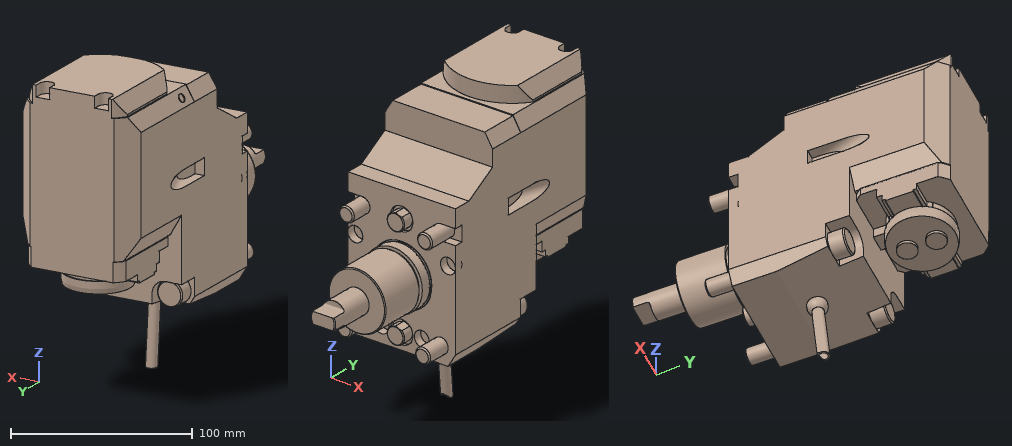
import cadquery as cq
import math


half_width = 37.54
back_y = 129.0
cover_y = 58.9
rear_block_y = 73.0
top_z = 85.5
cover_step = 0.6
top_edge_z = 76.0
top_chamfer_width = 5.5
bottom_z = -46.2
front_bottom_chamfer = (5.2, 8.6)
rear_bottom_z = 1.6
rear_bottom_chamfer = (7.2, 12.6)
back_corner = 10.8
nose_top_z = 52.5
nose_y = 12.0
shoulder_y = 33.5
shoulder_z = 64.9
underside_slope_y = 27.0
underside_rear_z = -40.8

output_y = 100.0
cap_radius = 38.2
cap_top_z = 96.5
cap_half_width = 31.2
cap_top_half_width = 25.53
cap_band = 1.2
cap_notch_x = 18.6
cap_notch_width = 8.6
cap_notch_length = 8.6
cap_notch_depth = 7.0
flange_radius = 38.8
flange_half_width = 31.0
flange_bottom_z = -10.5
notch_top_z = -3.8
notch_y = 86.5
notch_inner_x = 5.2
key_width = 20.8
key_bottom_z = -14.6
key_core_width = 26.5
key_core_half_span = 15.0
key_lip_width = 17.0
key_lip_height = 1.2
nut_diameter = 39.6
nut_collar_diameter = 41.5
nut_collar_top_z = -15.6
nut_bottom_z = -23.2
nut_chamfer = (3.0, 0.6)
nut_head_diameter = 12.0
nut_head_height = 2.0
nut_head_offset = 8.8

screw_x = 27.2
screw_z = 34.93
screw_diameter = 10.5
screw_tip_diameter = 8.6
top_screw_reach = 15.0
bottom_screw_reach = 16.8
face_recess_depth = 5.8
access_floor = 6.0
access_tilt = math.degrees(math.asin(1 / 3))
access_start_y = 47.8
access_axis_y = 69.3
head_diameter = 16.0
head_seat_y = 58.7
head_length = 10.0
head_chamfer = 0.8
head_pocket_diameter = 17.0

face_hole_diameter = 10.5
side_hole_x = 32.2
side_hole_z = 15.6
lower_hole_x = 14.0
plug_diameter = 12.0
plug_recess_diameter = 15.6
plug_recess_depth = 2.0
plug_reach = 5.8
plug_chamfer = 0.6
plug_flat_span = 45.0
dot_diameter = 5.0
dot_y = 68.0
dot_z = 80.7
dot_depth = 0.6

face_ring_diameter = 42.0
face_ring_depth = 1.0
relief_diameter = 39.5
relief_end = 1.0
collar_diameter = 40.8
collar_end = 7.8
groove_diameter = 36.5
groove_end = 10.0
sleeve_diameter = 39.6
sleeve_end = 40.5
sleeve_chamfer = 0.6

shaft_diameter = 17.0
shaft_end = 71.3
tang_start = 61.0
tang_thickness = 8.0
tang_root_radius = 1.5
tang_chamfer = 0.6

ball_diameter = 12.0
ball_y = 37.0
ball_z = -46.5
tube_diameter = 7.0
tube_bore = 5.0
tube_bore_depth = 36.0
tube_tilt = 5.0
tube_end_z = -90.3
bevel_start_y = 39.8
bevel_angle = 45.0

big = 200.2


def box(x0, x1, y0, y1, z0, z1):
    """Axis-aligned block between two corners."""
    return cq.Workplane("XY").box(x1 - x0, y1 - y0, z1 - z0, centered=False).translate((x0, y0, z0))


def rod_y(diameter, x, z, y0, y1):
    """Round bar along Y from y0 to y1."""
    plane = cq.Plane(origin=(x, y0, z), xDir=(1, 0, 0), normal=(0, 1, 0))
    return cq.Workplane(plane).circle(diameter / 2).extrude(y1 - y0)


def rod_z(diameter, y, z0, z1):
    """Round bar along Z on the middle plane."""
    return cq.Workplane("XY", origin=(0, y, z0)).circle(diameter / 2).extrude(z1 - z0)


def both_sides(shape):
    """The shape together with its mirror image across X = 0."""
    return shape.union(shape.mirror("YZ"))


def housing_length(y0, y1, bottom, bottom_chamfer, top):
    """Stretch of the housing with chamfered long edges."""
    chamfer_width, chamfer_height = bottom_chamfer
    right_side = [
        (half_width - chamfer_width, bottom),
        (half_width, bottom + chamfer_height),
        (half_width, top_edge_z),
        (half_width - top_chamfer_width, top),
    ]
    left_side = [(-x, z) for x, z in reversed(right_side)]
    outline = cq.Workplane("XZ", origin=(0, y0, 0)).polyline(right_side + left_side).close()
    return outline.extrude(y0 - y1)


def side_profile_cut(points):
    """Prism across the whole width from a (Y, Z) outline."""
    return cq.Workplane("YZ").polyline(points).close().extrude(half_width + 2, both=True)


def make_block():
    front_top = top_z - cover_step
    block = housing_length(0, cover_y, bottom_z, front_bottom_chamfer, front_top)
    block = block.union(housing_length(cover_y, rear_block_y, bottom_z, front_bottom_chamfer, top_z))
    block = block.union(
        housing_length(rear_block_y, back_y, rear_bottom_z, rear_bottom_chamfer, top_z)
    )
    block = block.cut(side_profile_cut([
        (0, nose_top_z), (nose_y, nose_top_z), (shoulder_y, shoulder_z),
        (shoulder_y, big), (-big, big), (-big, nose_top_z),
    ]))
    block = block.cut(side_profile_cut([
        (underside_slope_y, bottom_z), (rear_block_y, underside_rear_z), (rear_block_y, bottom_z),
    ]))
    corner = cq.Workplane("XY").polyline([
        (half_width, back_y - back_corner), (half_width, back_y), (half_width - back_corner, back_y),
    ]).close().extrude(big, both=True)
    return block.cut(both_sides(corner))


def make_disc(radius, half_span, z0, z1):
    """Disc on the output axis, trimmed flat at both sides and at the back."""
    disc = rod_z(2 * radius, output_y, z0, z1)
    return disc.intersect(box(-half_span, half_span, -big, back_y, z0, z1))


def make_cap():
    cap = make_disc(cap_radius, cap_half_width, top_z, cap_top_z)
    slope = cq.Workplane("XZ").polyline([
        (cap_half_width, top_z + cap_band), (cap_half_width, cap_top_z), (cap_top_half_width, cap_top_z),
    ]).close().extrude(-big)
    cap = cap.cut(both_sides(slope))
    radius = cap_notch_width / 2
    notch_y_end = back_y - cap_notch_length + radius
    floor_z = cap_top_z - cap_notch_depth
    notch = rod_z(cap_notch_width, notch_y_end, floor_z, cap_top_z)
    notch = notch.union(box(-radius, radius, notch_y_end, back_y, floor_z, cap_top_z))
    return cap.cut(both_sides(notch.translate((cap_notch_x, 0, 0))))


def make_flange():
    """Trimmed disc under the rear block, with front notches and a key on each side."""
    flange = make_disc(flange_radius, flange_half_width, flange_bottom_z, rear_bottom_z)
    notch = box(notch_inner_x, flange_radius, 0, notch_y, flange_bottom_z, notch_top_z)
    flange = flange.cut(both_sides(notch))

    def key(width, half_span, bottom):
        return box(-half_span, half_span, output_y - width / 2, output_y + width / 2, bottom, flange_bottom_z)

    flange = flange.union(key(key_width, flange_half_width, key_bottom_z))
    flange = flange.union(key(key_core_width, key_core_half_span, key_bottom_z))
    return flange.union(key(key_lip_width, flange_half_width, key_bottom_z - key_lip_height))


def make_nut():
    nut = rod_z(nut_diameter, output_y, nut_bottom_z, rear_bottom_z)
    collar = rod_z(nut_collar_diameter, output_y, nut_bottom_z, nut_collar_top_z)
    nut = nut.union(collar.faces("<Z").chamfer(*nut_chamfer))
    for side in (-1, 1):
        head_y = output_y + side * nut_head_offset
        nut = nut.union(rod_z(nut_head_diameter, head_y, nut_bottom_z - nut_head_height, nut_bottom_z))
    return nut


def access_pocket():
    """Tilted round-bottomed pocket in the +X side, cut off by a flat floor."""
    radius = screw_diameter / 2
    pocket = rod_y(screw_diameter, 0, 0, -big, big)
    pocket = pocket.union(box(0, big, -big, big, -radius, radius))
    pocket = pocket.rotate((0, 0, 0), (0, 0, 1), -access_tilt)
    pocket = pocket.translate((half_width, access_axis_y, screw_z))
    limits = box(half_width - access_floor, half_width + 2, access_start_y, back_y, 0, top_edge_z)
    return pocket.intersect(limits)


def face_slot():
    """Slot in the mounting face from an upper screw out to the +X side."""
    radius = screw_diameter / 2
    return box(screw_x, half_width, 0, face_recess_depth, screw_z - radius, screw_z + radius)


def head_pocket():
    """Rear corner pocket for a lower screw head, open to the side, the rear and below."""
    radius = head_pocket_diameter / 2
    top = radius - screw_z
    pocket = box(screw_x - radius, half_width, head_seat_y, rear_block_y, bottom_z, top)
    return pocket.edges("|Y").edges("<X").edges(">Z").fillet(radius)


def make_screw(x, z, reach, inner_end):
    """Screw end that stands out of the mounting face."""
    screw = rod_y(screw_diameter, x, z, -reach, inner_end)
    return screw.faces("<Y").chamfer((screw_diameter - screw_tip_diameter) / 2)


def make_screw_head():
    head = rod_y(head_diameter, screw_x, -screw_z, head_seat_y, head_seat_y + head_length)
    return head.faces(">Y").chamfer(head_chamfer)


def make_plug(z):
    """Round plug with two flats that meet at the top."""
    radius = plug_diameter / 2
    plug = rod_y(plug_diameter, 0, z, -plug_reach, plug_recess_depth)
    plug = plug.faces("<Y").chamfer(plug_chamfer)
    flat_distance = radius * math.cos(math.radians(plug_flat_span / 2))
    for side in (-1, 1):
        flat = box(-radius, radius, -plug_reach, plug_recess_depth, flat_distance, radius)
        flat = flat.rotate((0, 0, 0), (0, 1, 0), side * plug_flat_span / 2)
        plug = plug.cut(flat.translate((0, 0, z)))
    return plug


def make_sleeve():
    sleeve = rod_y(relief_diameter, 0, 0, -relief_end, face_ring_depth)
    sleeve = sleeve.union(rod_y(collar_diameter, 0, 0, -collar_end, -relief_end))
    sleeve = sleeve.union(rod_y(groove_diameter, 0, 0, -groove_end, -collar_end))
    barrel = rod_y(sleeve_diameter, 0, 0, -sleeve_end, -groove_end)
    return sleeve.union(barrel.faces("<Y").chamfer(sleeve_chamfer))


def make_nozzle():
    """Ball with a tilted tube, its end cut level and beveled at the front."""
    length = ball_z - tube_end_z + tube_diameter
    tube = cq.Workplane("XY").circle(tube_diameter / 2).extrude(-length)
    bore = cq.Workplane("XY", origin=(0, 0, -length)).circle(tube_bore / 2).extrude(tube_bore_depth)
    tube = tube.cut(bore)
    tube = tube.rotate((0, 0, 0), (1, 0, 0), tube_tilt).translate((0, ball_y, ball_z))
    tube = tube.cut(box(-big, big, -big, big, -big, tube_end_z))
    bevel = box(-big, big, -big, big, -big, 0).rotate((0, 0, 0), (1, 0, 0), -bevel_angle)
    tube = tube.cut(bevel.translate((0, bevel_start_y, tube_end_z)))
    ball = cq.Workplane("XY", origin=(0, ball_y, ball_z)).sphere(ball_diameter / 2)
    return ball.union(tube)


def marker_dot():
    """Shallow round dimple in the -X top chamfer."""
    rise = top_z - top_edge_z
    slant = math.hypot(rise, top_chamfer_width)
    normal = (-rise / slant, 0, top_chamfer_width / slant)
    surface_x = -half_width + top_chamfer_width * (dot_z - top_edge_z) / rise
    plane = cq.Plane(origin=(surface_x, dot_y, dot_z), xDir=(0, 1, 0), normal=normal)
    return cq.Workplane(plane).circle(dot_diameter / 2).extrude(-dot_depth)


def make_housing():
    housing = make_block()
    housing = housing.cut(both_sides(access_pocket()))
    housing = housing.cut(both_sides(face_slot()))
    housing = housing.cut(both_sides(head_pocket()))
    housing = housing.cut(marker_dot())
    housing = housing.cut(rod_y(face_ring_diameter, 0, 0, 0, face_ring_depth))
    for x, z in ((side_hole_x, side_hole_z), (lower_hole_x, -screw_z)):
        housing = housing.cut(both_sides(rod_y(face_hole_diameter, x, z, 0, face_recess_depth)))
    for z in (-screw_z, screw_z):
        housing = housing.cut(rod_y(plug_recess_diameter, 0, z, 0, plug_recess_depth))
        housing = housing.union(make_plug(z))
    housing = housing.union(both_sides(make_screw(screw_x, screw_z, top_screw_reach, face_recess_depth)))
    housing = housing.union(both_sides(make_screw(screw_x, -screw_z, bottom_screw_reach, 0)))
    housing = housing.union(both_sides(make_screw_head()))
    for part in (make_cap(), make_flange(), make_nut(), make_sleeve(), make_nozzle()):
        housing = housing.union(part)
    return housing


def make_shaft():
    """Drive shaft standing on the end of the sleeve, with a flat tang."""
    shaft = rod_y(shaft_diameter, 0, 0, -shaft_end, -sleeve_end)
    shaft = shaft.faces("<Y").chamfer(tang_chamfer)
    radius = shaft_diameter / 2
    for side in (-1, 1):
        relief = box(-radius, radius, -shaft_end, -tang_start, tang_thickness / 2, radius)
        relief = relief.edges("|X").edges(">Y").edges("<Z").fillet(tang_root_radius)
        if side < 0:
            relief = relief.mirror("XY")
        shaft = shaft.cut(relief)
    return shaft


housing = make_housing()
shaft = make_shaft()
result = cq.Compound.makeCompound([housing.val(), shaft.val()])